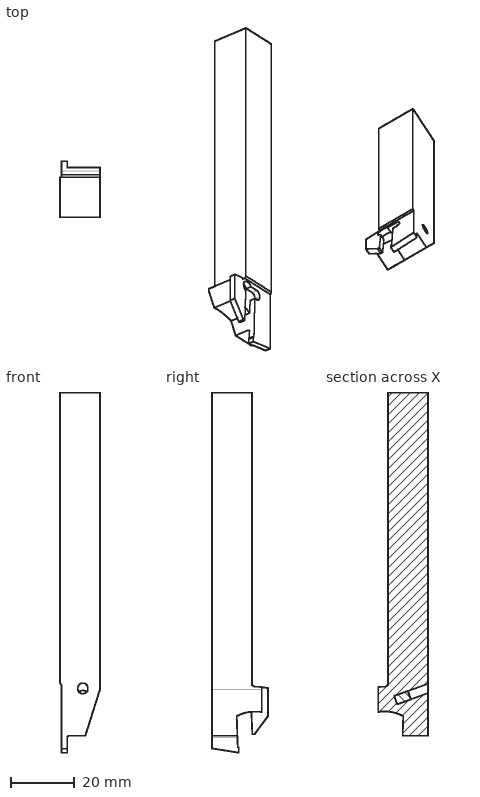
import cadquery as cq
import math

width = 12.7
height = 113.3

relief = 0.5
relief_top = 22.0
relief_bottom = 21.3
blade_thickness = 1.9
blade_back = relief + blade_thickness
root_fillet = 0.5

step_z = 5.3
taper_bottom_x = 8.0
taper_top_z = 20.0

jaw_y = 17.7
jaw_outer_top = 20.4
jaw_outer_bottom = 11.5
jaw_tip_z = 5.8
jaw_tip_outer_y = 13.4
jaw_tip_inner_y = 12.7
head_y = 15.7
ledge_start_y = 13.4
ledge_end_y = 14.7
ledge_z = 20.8
throat_outer_z = 12.8
throat_mid = (9.7, 12.3)
throat_inner_z = 11.5

leg_outer_bottom = 1.4
leg_tip_y = 8.5
leg_lip_z = 1.8
leg_lip_y = 8.2

seat_bottom = 16.2
seat_top = 19.6
seat_inner_y = 5.3
seat_corner = 1.5
leg_top_y = 7.7
relief_hole_y = 11.3
relief_hole_z = 18.7
relief_hole_radius = 1.9
slot_outer_top_y = 12.2

screw_x = 7.3
screw_z = 20.3
screw_diameter = 3.2
screw_tilt = 20.0
screw_recess = 6.2
screw_length = 4.5

leg_slope = (leg_lip_y - leg_top_y) / (seat_bottom - leg_lip_z)
throat_inner_y = leg_top_y + leg_slope * (seat_bottom - throat_inner_z)
slot_outer_slope = (jaw_tip_inner_y - slot_outer_top_y) / (seat_bottom - jaw_tip_z)
slot_outer_throat_y = slot_outer_top_y + slot_outer_slope * (seat_bottom - throat_inner_z)


def extrude_x(outline, start, end):
    """Extrude a closed Y-Z outline from X = start to X = end."""
    return outline.extrude(end - start).translate((start, 0, 0))


def upper_outline(outer_y):
    """Start a Y-Z outline at the shank top, down its +Y side and out along the jaw top."""
    outer_fraction = (outer_y - ledge_end_y) / (jaw_y - ledge_end_y)
    outer_z = ledge_z + outer_fraction * (jaw_outer_top - ledge_z)
    return (
        cq.Workplane("YZ")
        .moveTo(0, height)
        .lineTo(width, height)
        .lineTo(width, relief_bottom)
        .lineTo(ledge_start_y, ledge_z)
        .lineTo(ledge_end_y, ledge_z)
        .lineTo(outer_y, outer_z)
    )


def finish_leg(outline):
    """Close a Y-Z outline around the tip and base of the lower jaw."""
    return (
        outline.lineTo(leg_lip_y, leg_lip_z)
        .lineTo(leg_tip_y, leg_lip_z)
        .lineTo(leg_tip_y, 0)
        .lineTo(0, leg_outer_bottom)
        .close()
    )


def make_body():
    """Shank and backing head, bounded by the throat between the jaws."""
    outline = (
        upper_outline(head_y)
        .lineTo(head_y, throat_outer_z)
        .threePointArc(throat_mid, (throat_inner_y, throat_inner_z))
    )
    return extrude_x(finish_leg(outline), 0, width)


def make_blade():
    """Both jaws before the insert seat is cut."""
    outline = (
        upper_outline(jaw_y)
        .lineTo(jaw_y, jaw_outer_bottom)
        .lineTo(jaw_tip_outer_y, jaw_tip_z)
        .lineTo(jaw_tip_inner_y, jaw_tip_z)
        .lineTo(slot_outer_top_y, seat_bottom)
        .lineTo(leg_top_y, seat_bottom)
    )
    return extrude_x(finish_leg(outline), 0, blade_back)


def make_front_envelope():
    """Front silhouette: relieved -X side, tapered +X side and step down to the blade."""
    return (
        cq.Workplane("XZ")
        .polyline([
            (0, height),
            (width, height),
            (width, taper_top_z),
            (taper_bottom_x, step_z),
            (blade_back, step_z),
            (blade_back, 0),
            (relief, 0),
            (relief, relief_bottom),
            (0, relief_top),
        ])
        .close()
        .extrude(-jaw_y)
        .edges(cq.selectors.NearestToPointSelector((blade_back, jaw_y / 2, step_z)))
        .fillet(root_fillet)
    )


def make_seat():
    """Insert seat with a rounded inner end and a round relief at the root of the upper jaw."""
    pocket = extrude_x(
        cq.Workplane("YZ")
        .moveTo(relief_hole_y, seat_top)
        .lineTo(seat_inner_y, seat_top)
        .lineTo(seat_inner_y, seat_bottom)
        .lineTo(leg_top_y, seat_bottom)
        .lineTo(throat_inner_y, throat_inner_z)
        .lineTo(slot_outer_throat_y, throat_inner_z)
        .lineTo(slot_outer_top_y, seat_bottom)
        .lineTo(slot_outer_top_y, relief_hole_z)
        .close(),
        0,
        blade_back,
    )
    inner_end = cq.selectors.BoxSelector(
        (0, seat_inner_y - seat_corner, 0),
        (blade_back, seat_inner_y + seat_corner / 2, height),
    )
    pocket = pocket.edges("|X").edges(inner_end).fillet(seat_corner)
    relief_hole = extrude_x(
        cq.Workplane("YZ").center(relief_hole_y, relief_hole_z).circle(relief_hole_radius),
        0,
        blade_back,
    )
    return pocket.union(relief_hole)


def screw_cylinder(start, end):
    """Cylinder on the screw axis, between two distances from the -Y face."""
    tilt = math.radians(screw_tilt)
    direction = cq.Vector(0, math.cos(tilt), -math.sin(tilt))
    mouth = cq.Vector(screw_x, 0, screw_z)
    solid = cq.Solid.makeCylinder(
        screw_diameter / 2, end - start, mouth + direction * start, direction
    )
    return cq.Workplane(obj=solid)


screw_end = screw_recess + screw_length
hole_overrun = screw_diameter

holder = make_body().union(make_blade()).intersect(make_front_envelope())
holder = holder.cut(make_seat())
holder = holder.cut(screw_cylinder(-hole_overrun, screw_end))

screw = screw_cylinder(screw_recess, screw_end)

result = cq.Compound.makeCompound([holder.val(), screw.val()])